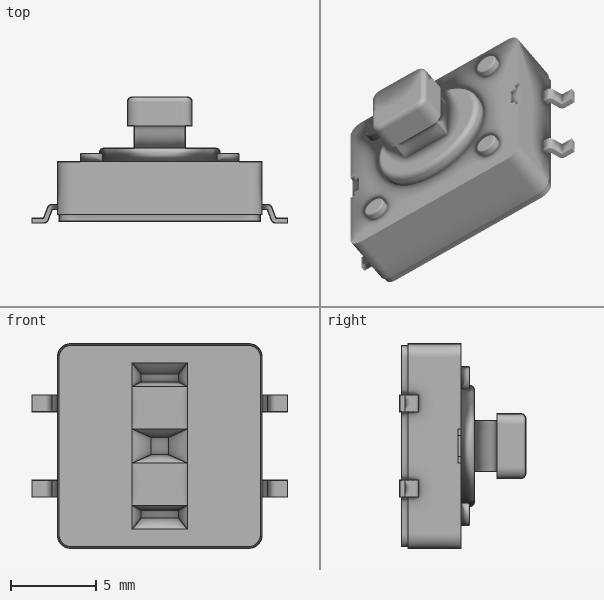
import cadquery as cq
import math

overall_width = 15.0
overall_height = 7.4

body_size = 12.0
body_corner = 0.8
body_bottom = 0.5
body_top = 3.6
plate_inset = 0.1
plate_bottom = 0.1

collar_diameter = 7.1
collar_top = 4.4
collar_fillet = 0.3
rivet_diameter = 1.3
rivet_spacing = 8.0
rivet_top = 4.1
rivet_fillet = 0.09

stem_size = 3.0
cap_size = 3.8
cap_bottom = 5.7
cap_corner = 0.63
cap_fillet = 0.3

notch_depth = 0.2
notch_width = 2.0
notch_length = 0.3
inner_notch_width = 1.25
inner_notch_length = 0.3

recess_width = 3.22
recess_length = 9.75
recess_depth = 0.1
middle_pocket_depth = 0.9
middle_pocket_length = 2.0
middle_floor_size = 1.0
end_pocket_length = 1.4
end_floor_width = 2.19
end_floor_length = 0.45
end_floor_center = 3.99
end_pocket_depth = 0.81

leg_width = 1.0
leg_spacing = 5.0
leg_thickness = 0.3
leg_top = 1.1
foot_length = 0.69
shoulder_length = 0.3


def plane_at(y):
    """Sketch plane at height y, facing +Y, with local x along Z and local y along X."""
    return cq.Workplane(cq.Plane(origin=(0, y, 0), xDir=(0, 0, 1), normal=(0, 1, 0)))


def square_block(size, bottom, top):
    return plane_at(bottom).rect(size, size).extrude(top - bottom)


def make_housing():
    body = square_block(body_size, body_bottom, body_top).edges("|Y").fillet(body_corner)
    plate_size = body_size - 2 * plate_inset
    plate = square_block(plate_size, plate_bottom, body_bottom)
    plate = plate.edges("|Y").fillet(body_corner - plate_inset)
    return body.union(plate)


def make_collar():
    collar = plane_at(body_top).circle(collar_diameter / 2).extrude(collar_top - body_top)
    return collar.faces(">Y").edges().fillet(collar_fillet)


def make_rivets():
    rivets = plane_at(body_top).rect(rivet_spacing, rivet_spacing, forConstruction=True).vertices()
    rivets = rivets.circle(rivet_diameter / 2).extrude(rivet_top - body_top)
    return rivets.faces(">Y").edges().fillet(rivet_fillet)


def make_button():
    stem = square_block(stem_size, collar_top, cap_bottom)
    cap = square_block(cap_size, cap_bottom, overall_height).edges("|Y").fillet(cap_corner)
    cap = cap.faces(">Y").edges().fillet(cap_fillet)
    return stem.union(cap)


def make_notch():
    """Notch cutter on the -X side: a wide mouth with a narrower pocket behind it."""
    side = -body_size / 2
    mouth = cq.Workplane().box(notch_length, notch_depth, notch_width, centered=(False, False, True))
    total_length = notch_length + inner_notch_length
    inner = cq.Workplane().box(total_length, notch_depth, inner_notch_width, centered=(False, False, True))
    return mouth.union(inner).translate((side, body_top - notch_depth, 0))


def make_pocket(mouth_length, mouth_center, floor_width, floor_length, floor_center, depth):
    """Tapered pocket cutter from the recess floor inwards."""
    mouth = plane_at(plate_bottom + recess_depth).center(mouth_center, 0).rect(mouth_length, recess_width)
    floor = mouth.workplane(offset=depth).center(floor_center - mouth_center, 0)
    return floor.rect(floor_length, floor_width).loft(ruled=True)


def make_recess():
    recess = plane_at(plate_bottom).rect(recess_length, recess_width).extrude(recess_depth)
    recess = recess.union(
        make_pocket(middle_pocket_length, 0, middle_floor_size, middle_floor_size, 0, middle_pocket_depth)
    )
    end_center = (recess_length - end_pocket_length) / 2
    for end in (1, -1):
        recess = recess.union(
            make_pocket(end_pocket_length, end * end_center, end_floor_width, end_floor_length,
                        end * end_floor_center, end_pocket_depth)
        )
    return recess


def make_leg():
    """Leg on the -X side, centred on Z = 0; each bend is an arc about a sharp inner corner."""
    t = leg_thickness
    tip_x = -overall_width / 2
    body_x = -body_size / 2
    low_x, low_y = tip_x + foot_length, t
    high_x, high_y = body_x - shoulder_length, leg_top - t

    run, rise = high_x - low_x, high_y - low_y
    slope = math.atan2(rise, run) + math.asin(t / math.hypot(run, rise))
    out_x, out_y = t * math.sin(slope), -t * math.cos(slope)
    mid_x, mid_y = t * math.sin(slope / 2), -t * math.cos(slope / 2)

    profile = (
        cq.Workplane("XY")
        .moveTo(tip_x, 0)
        .lineTo(low_x, 0)
        .threePointArc((low_x + mid_x, low_y + mid_y), (low_x + out_x, low_y + out_y))
        .lineTo(high_x, high_y)
        .lineTo(body_x, high_y)
        .lineTo(body_x, leg_top)
        .lineTo(high_x, leg_top)
        .threePointArc((high_x - mid_x, high_y - mid_y), (high_x - out_x, high_y - out_y))
        .lineTo(low_x, low_y)
        .lineTo(tip_x, t)
        .close()
    )
    return profile.extrude(leg_width / 2, both=True)


result = make_housing().union(make_collar()).union(make_rivets()).union(make_button())
result = result.cut(make_recess())

notch = make_notch()
result = result.cut(notch).cut(notch.mirror("YZ"))

leg = make_leg()
for z in (-leg_spacing / 2, leg_spacing / 2):
    placed_leg = leg.translate((0, 0, z))
    result = result.union(placed_leg).union(placed_leg.mirror("YZ"))